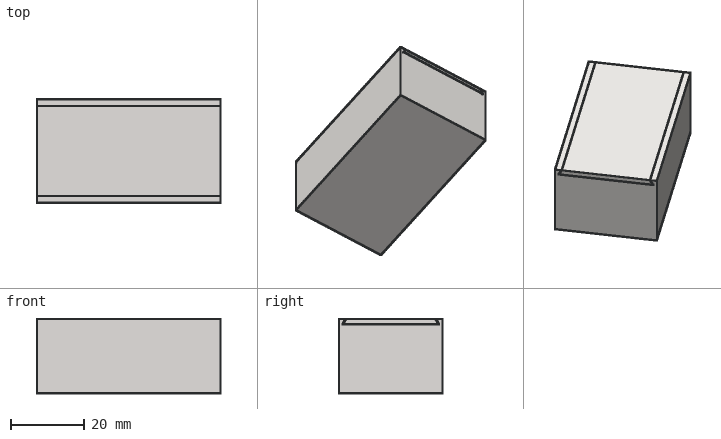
import cadquery as cq
import math

LENGTH = 50.4
WIDTH = 28.4
HEIGHT = 20.4

GROOVE_FLOOR_WIDTH = 26.45
GROOVE_DEPTH = 1.55
FLANK_ANGLE = 30.0

FLOOR_GAP = 0.1
SIDE_GAP = 0.05


def dovetail_bar(floor_gap, side_gap):
    """Bar along X with the groove's cross-section, reduced by the given gaps."""
    slope = math.tan(math.radians(FLANK_ANGLE))
    bottom_z = HEIGHT - GROOVE_DEPTH + floor_gap
    half_bottom = GROOVE_FLOOR_WIDTH / 2 - floor_gap * slope - side_gap
    half_top = GROOVE_FLOOR_WIDTH / 2 - GROOVE_DEPTH * slope - side_gap
    return (
        cq.Workplane("YZ", origin=(-LENGTH / 2, 0, 0))
        .moveTo(-half_bottom, bottom_z)
        .lineTo(half_bottom, bottom_z)
        .lineTo(half_top, HEIGHT)
        .lineTo(-half_top, HEIGHT)
        .close()
        .extrude(LENGTH)
    )


def make_housing():
    """Block with its dovetail groove open at both ends."""
    block = cq.Workplane("XY").box(LENGTH, WIDTH, HEIGHT, centered=(True, True, False))
    groove = dovetail_bar(floor_gap=0, side_gap=0)
    return block.cut(groove)


def make_lid():
    """Sliding lid, flush with the top and the ends of the housing."""
    return dovetail_bar(FLOOR_GAP, SIDE_GAP)


housing = make_housing()
lid = make_lid()

result = cq.Compound.makeCompound([housing.val(), lid.val()])